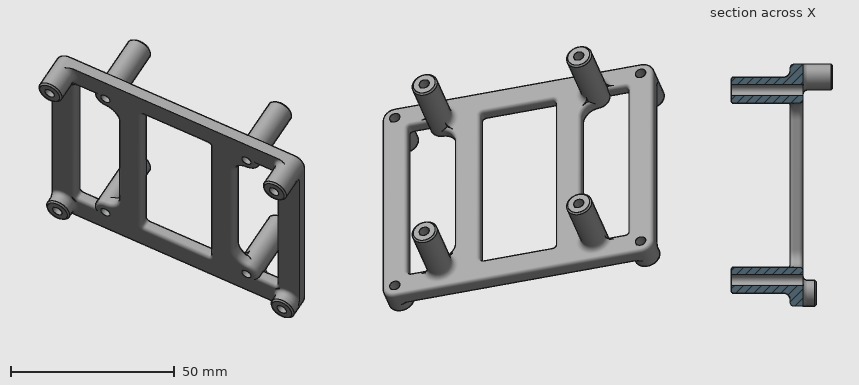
import cadquery as cq
import math

width = 86.0
height = 74.0
thickness = 4.0
front_y = 0.0
back_y = front_y + thickness
edge_radius = 1.2

post_radius = 4.0
post_chamfer = 0.5
corner_hole_diameter = 3.3
back_hole_diameter = 3.2
upper_front_length = 8.95
lower_front_length = 4.0
back_length = 18.0
front_flare = 1.2
back_flare = 2.0
corner_x = width / 2 - post_radius
corner_z = height / 2 - post_radius
back_post_x = 24.5
back_post_z = 29.0
back_tip_y = back_y + back_length
full_depth = back_length + thickness + upper_front_length

window_half_height = back_post_z
window_corner = 1.0
center_window_half_width = 11.95
side_window_inner_x = 20.0
side_window_outer_x = 35.0
neck_radius = 5.0


def front_workplane(y):
    """Workplane at depth y, drawn with +X right and +Z up; it extrudes toward -Y."""
    return cq.Workplane("XZ", origin=(0, y, 0))


def polar_point(center_x, center_z, radius, degrees):
    """XZ point at the given angle on a circle."""
    angle = math.radians(degrees)
    return (center_x + radius * math.cos(angle), center_z + radius * math.sin(angle))


def outline_plate():
    """Plate with rounded corners and a rounded back rim, without windows."""
    blank = front_workplane(back_y).rect(width, height).extrude(thickness)
    blank = blank.edges("|Y").fillet(post_radius)
    return blank.faces(">Y").edges().fillet(edge_radius)


def center_window():
    """Rectangular opening with rounded corners."""
    opening = front_workplane(back_y).rect(2 * center_window_half_width, 2 * window_half_height)
    return opening.extrude(thickness).edges("|Y").fillet(window_corner)


def side_window():
    """Opening on +X that sweeps around the two back posts on that side."""
    neck_x = side_window_inner_x + neck_radius
    center_distance = post_radius + neck_radius
    lean = math.asin((neck_x - back_post_x) / center_distance)
    neck_z = back_post_z - center_distance * math.cos(lean)
    neck_end = polar_point(back_post_x, back_post_z, post_radius, math.degrees(lean) - 90)
    neck_mid = polar_point(neck_x, neck_z, neck_radius, 135)
    lobe_mid = polar_point(back_post_x, back_post_z, post_radius, -45)
    corner_start_x = side_window_outer_x - window_corner
    corner_end_z = window_half_height - window_corner
    corner_mid = polar_point(corner_start_x, corner_end_z, window_corner, 45)
    upper_half = (
        front_workplane(back_y)
        .moveTo(side_window_inner_x, 0)
        .lineTo(side_window_inner_x, neck_z)
        .threePointArc(neck_mid, neck_end)
        .threePointArc(lobe_mid, (back_post_x + post_radius, window_half_height))
        .lineTo(corner_start_x, window_half_height)
        .threePointArc(corner_mid, (side_window_outer_x, corner_end_z))
        .lineTo(side_window_outer_x, 0)
        .close()
        .extrude(thickness)
    )
    return upper_half.union(upper_half.mirror("XY")).clean()


def round_window_edges(plate):
    """Round the window edges on the front and back faces."""
    margin = edge_radius / 2
    window_zone = cq.selectors.BoxSelector(
        (-side_window_outer_x - margin, front_y - margin, -window_half_height - margin),
        (side_window_outer_x + margin, back_y + margin, window_half_height + margin),
    )
    for face in ("<Y", ">Y"):
        plate = plate.faces(face).edges(window_zone).fillet(edge_radius)
    return plate


def post(root_y, tip_y):
    """Round post on the Y axis with a chamfered tip."""
    direction = math.copysign(1, tip_y - root_y)
    return (
        cq.Workplane("XY")
        .moveTo(0, root_y)
        .lineTo(post_radius, root_y)
        .lineTo(post_radius, tip_y - direction * post_chamfer)
        .lineTo(post_radius - post_chamfer, tip_y)
        .lineTo(0, tip_y)
        .close()
        .revolve(360, (0, 0), (0, 1))
    )


def flare(face_y, direction, radius):
    """Concave ring at a post root; it covers three quadrants and leaves the +X +Z one bare."""
    arc_gap = radius * (1 - math.sqrt(0.5))
    core_radius = post_radius - radius / 2
    top_y = face_y + direction * radius
    return (
        cq.Workplane("XY")
        .moveTo(core_radius, face_y)
        .lineTo(post_radius + radius, face_y)
        .threePointArc(
            (post_radius + arc_gap, face_y + direction * arc_gap),
            (post_radius, top_y),
        )
        .lineTo(core_radius, top_y)
        .close()
        .revolve(270, (0, 0), (0, 1))
    )


def corner_post(length):
    """Front post in the +X +Z corner; its flare stops at the straight plate sides."""
    plate_bounds = cq.Workplane("XY").box(width, full_depth, height)
    ring = flare(front_y, -1, front_flare).translate((corner_x, 0, corner_z))
    shaft = post(front_y, front_y - length).translate((corner_x, 0, corner_z))
    return shaft.union(ring.intersect(plate_bounds))


def back_post(window):
    """Upper +X back post; its flare ends where the window edge rounding starts."""
    window_mouth = (
        window.faces(">Y").wires().toPending().workplane()
        .offset2D(edge_radius)
        .extrude(back_flare, combine=False)
    )
    ring = flare(back_y, 1, back_flare).mirror("XY").translate((back_post_x, 0, back_post_z))
    shaft = post(back_y - edge_radius, back_tip_y).translate((back_post_x, 0, back_post_z))
    return shaft.union(ring.cut(window_mouth))


def hole_pattern(x, z, diameter):
    """Four cylinders along Y at (+-x, +-z), long enough to pass through every post."""
    centers = front_workplane(back_tip_y).rect(2 * x, 2 * z, forConstruction=True).vertices()
    return centers.circle(diameter / 2).extrude(full_depth)


right_window = side_window()
result = outline_plate().cut(center_window()).cut(right_window).cut(right_window.mirror("YZ"))
result = round_window_edges(result)

upper_back_post = back_post(right_window)
right_posts = (
    corner_post(upper_front_length),
    corner_post(lower_front_length).mirror("XY"),
    upper_back_post,
    upper_back_post.mirror("XY"),
)
for right_post in right_posts:
    result = result.union(right_post, clean=False).union(right_post.mirror("YZ"), clean=False)

result = result.cut(hole_pattern(corner_x, corner_z, corner_hole_diameter), clean=False)
result = result.cut(hole_pattern(back_post_x, back_post_z, back_hole_diameter), clean=False)